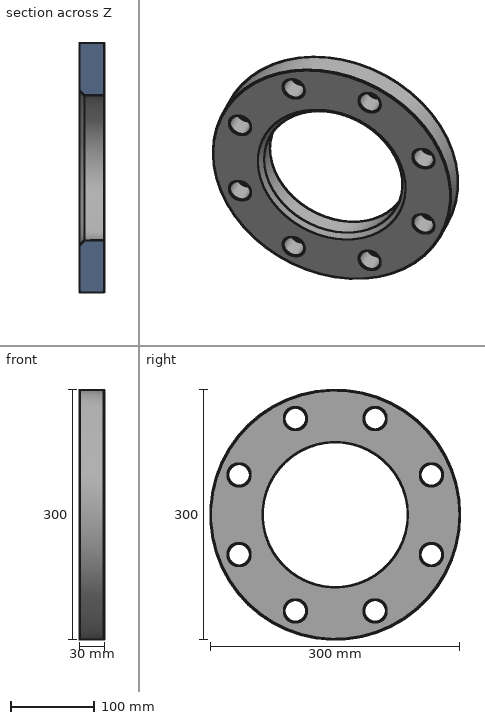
import cadquery as cq

outer_diameter = 300.0
thickness = 30.0
bore_diameter = 174.0
bore_chamfer = 6.0
rim_chamfer = 1.0

bolt_count = 8
bolt_hole_diameter = 26.0
bolt_circle_diameter = 250.0
bolt_hole_chamfer = 1.0


def disc(diameter):
    """Solid cylinder through the full thickness, centred on the X axis."""
    return cq.Workplane("YZ").circle(diameter / 2).extrude(thickness)


def chamfered_cutter(diameter, near_chamfer, far_chamfer):
    """Through-hole cutter along X, widened by 45-degree chamfers at its two ends."""
    radius = diameter / 2
    cutter = disc(diameter)
    if near_chamfer:
        cone = cq.Solid.makeCone(
            radius + near_chamfer, radius, near_chamfer, cq.Vector(0, 0, 0), cq.Vector(1, 0, 0)
        )
        cutter = cutter.union(cq.Workplane(cone))
    if far_chamfer:
        cone = cq.Solid.makeCone(
            radius + far_chamfer, radius, far_chamfer, cq.Vector(thickness, 0, 0), cq.Vector(-1, 0, 0)
        )
        cutter = cutter.union(cq.Workplane(cone))
    return cutter


flange = disc(outer_diameter).edges("%CIRCLE").chamfer(rim_chamfer)
flange = flange.cut(chamfered_cutter(bore_diameter, bore_chamfer, 0))

bolt_cutter = chamfered_cutter(bolt_hole_diameter, bolt_hole_chamfer, bolt_hole_chamfer)
bolt_cutter = bolt_cutter.translate((0, bolt_circle_diameter / 2, 0))
pitch_angle = 360 / bolt_count
for index in range(bolt_count):
    angle = (index + 0.5) * pitch_angle
    flange = flange.cut(bolt_cutter.rotate((0, 0, 0), (1, 0, 0), angle))

result = flange.translate((-thickness / 2, 0, 0))